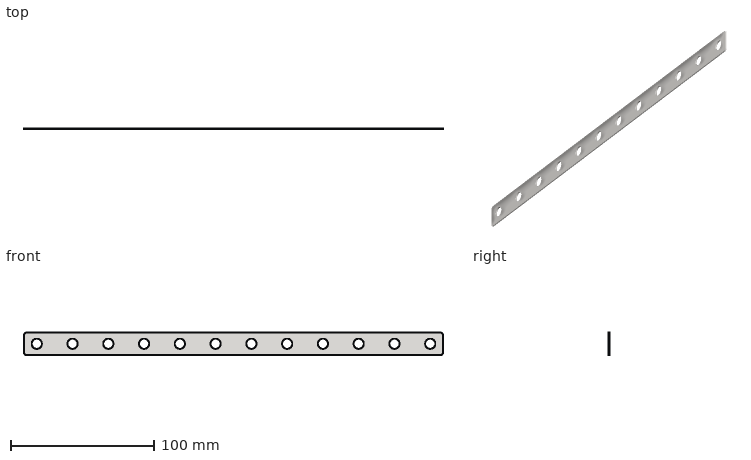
import cadquery as cq

length = 293.0
thickness = 1.0
height = 16.0
corner_radius = 2.0

hole_count = 12
hole_pitch = 25.0
hole_diameter = 7.0


def make_strip():
    """Flat strip standing in the XZ plane, with rounded corners."""
    return cq.Workplane("XY").box(length, thickness, height).edges("|Y").fillet(corner_radius)


def drill_hole_row(strip):
    """Evenly spaced through holes, centred on the strip."""
    return (
        strip.faces("<Y")
        .workplane(origin=(0, 0, 0))
        .rarray(hole_pitch, 1, hole_count, 1)
        .hole(hole_diameter)
    )


result = drill_hole_row(make_strip())